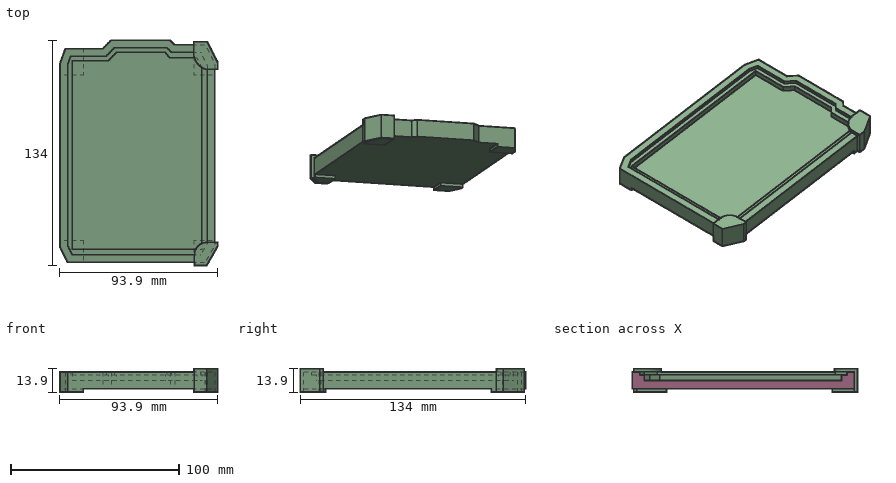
import cadquery as cq
import math

tray_width = 92.0
tray_length = 132.1
left_shoulder_y = 127.2
right_shoulder_y = 129.5

tab_base_left = 25.6
tab_top_left = 30.4
tab_top_right = 65.5
tab_base_right = 68.2
tray_top = 12.0
foot_height = 1.9

rim_width = 4.5
ledge_depth = 1.9
pocket_floor_z = 7.0
pocket_inset = 7.2
pocket_inset_wide = 7.8

foot_left_end = 14.0
foot_right_start = 79.5
foot_front_end = 13.3
foot_back_start = 111.6

cap_thickness = 1.9
cap_top = tray_top + cap_thickness
cap_side_length = 6.5
front_cap_left = 80.0
front_cap_inner_y = 11.9
back_cap_left = 79.5
back_cap_inner_y = 114.7
cap_arc_width = 7.5

front_left_cut = (4.5, 9.1)
back_left_cut = (3.2, 9.0)
front_right_cut = (5.9, 10.3)
back_right_cut = (5.6, 11.1)

tray_outline = [
    (front_left_cut[0], 0),
    (tray_width - front_right_cut[0], 0),
    (tray_width, front_right_cut[1]),
    (tray_width, right_shoulder_y - back_right_cut[1]),
    (tray_width - back_right_cut[0], right_shoulder_y),
    (tab_base_right, right_shoulder_y),
    (tab_top_right, tray_length),
    (tab_top_left, tray_length),
    (tab_base_left, left_shoulder_y),
    (back_left_cut[0], left_shoulder_y),
    (0, left_shoulder_y - back_left_cut[1]),
    (0, front_left_cut[1]),
]


def tray_prism(offset, bottom, top):
    """Prism of the tray outline, grown (or shrunk if negative) by offset."""
    outline = cq.Workplane("XY").workplane(offset=bottom).polyline(tray_outline).close()
    if offset:
        outline = outline.offset2D(offset, "intersection")
    return outline.extrude(top - bottom)


def make_pocket():
    """Deep inner pocket, with a corner cut below the back cap."""
    right = tray_width - pocket_inset_wide
    left_top = left_shoulder_y - pocket_inset
    middle_top = tray_length - pocket_inset
    right_top = right_shoulder_y - pocket_inset_wide
    corner_width = 3.0
    corner_length = 5.9
    tab_left_shift = 3.2
    tab_right_shift = 3.0
    outline = [
        (pocket_inset, pocket_inset_wide),
        (right, pocket_inset_wide),
        (right, right_top - corner_length),
        (right - corner_width, right_top),
        (tab_base_right - tab_right_shift, right_top),
        (tab_top_right - tab_right_shift, middle_top),
        (tab_top_left + tab_left_shift, middle_top),
        (tab_base_left + tab_left_shift, left_top),
        (pocket_inset, left_top),
    ]
    pocket = cq.Workplane("XY").workplane(offset=pocket_floor_z).polyline(outline).close()
    return pocket.extrude(tray_top - pocket_floor_z)


def make_feet():
    """Four corner feet below the tray."""
    feet = tray_prism(0, 0, foot_height)
    middle_width = foot_right_start - foot_left_end
    middle_length = foot_back_start - foot_front_end
    across_gap = cq.Workplane("XY").box(
        middle_width, tray_length, foot_height, centered=False
    ).translate((foot_left_end, 0, 0))
    along_gap = cq.Workplane("XY").box(
        tray_width, middle_length, foot_height, centered=False
    ).translate((0, foot_front_end, 0))
    return feet.cut(across_gap).cut(along_gap)


def make_tray():
    tray = tray_prism(0, foot_height, tray_top).union(make_feet())
    ledge_recess = tray_prism(-rim_width, tray_top - ledge_depth, tray_top)
    return tray.cut(ledge_recess).cut(make_pocket())


def make_cap(left, outer_y, inner_y):
    """Cap over a right-hand corner, following the tray outline at a wall's distance."""
    right = tray_width + cap_thickness
    inward = math.copysign(1, inner_y - outer_y)
    arc_start_y = outer_y + inward * cap_side_length
    window = (
        cq.Workplane("XY")
        .moveTo(right, inner_y)
        .lineTo(right, outer_y)
        .lineTo(left, outer_y)
        .lineTo(left, arc_start_y)
        .tangentArcPoint((left + cap_arc_width, inner_y), relative=False)
        .close()
        .extrude(cap_top)
    )
    cap = tray_prism(cap_thickness, 0, cap_top).intersect(window)
    return cap.cut(tray_prism(0, 0, tray_top))


tray = make_tray()
caps = [
    make_cap(front_cap_left, -cap_thickness, front_cap_inner_y),
    make_cap(back_cap_left, right_shoulder_y + cap_thickness, back_cap_inner_y),
]
result = cq.Compound.makeCompound([tray.val(), *[cap.val() for cap in caps]])